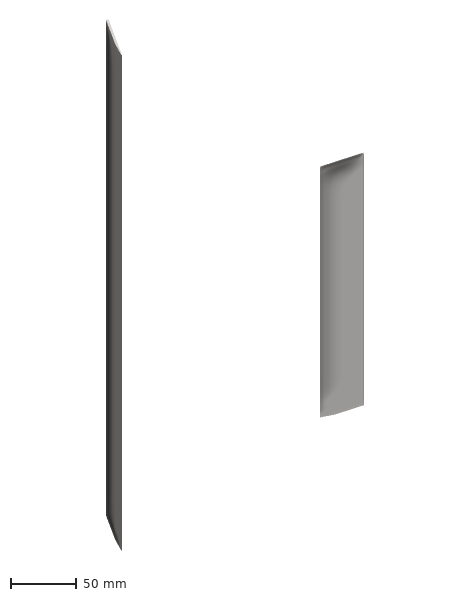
import cadquery as cq

LENGTH = 649.0
STRIP_WIDTH = 35.0
THICKNESS = 2.0
BEVEL_WIDTH = 11.5
LIP_THICKNESS = 0.5
TILT_DEGREES = 1.98


def strip_section():
    """Cross-section before tilting: back at +Y, bevel cut from the front (-Y) face."""
    bevel_start = STRIP_WIDTH - BEVEL_WIDTH
    lip_front = THICKNESS - LIP_THICKNESS
    return [
        (0, 0),
        (bevel_start, 0),
        (STRIP_WIDTH, lip_front),
        (STRIP_WIDTH, THICKNESS),
        (0, THICKNESS),
    ]


upright_strip = cq.Workplane("XY").polyline(strip_section()).close().extrude(LENGTH)
result = upright_strip.rotate((0, 0, 0), (0, 0, 1), -TILT_DEGREES)